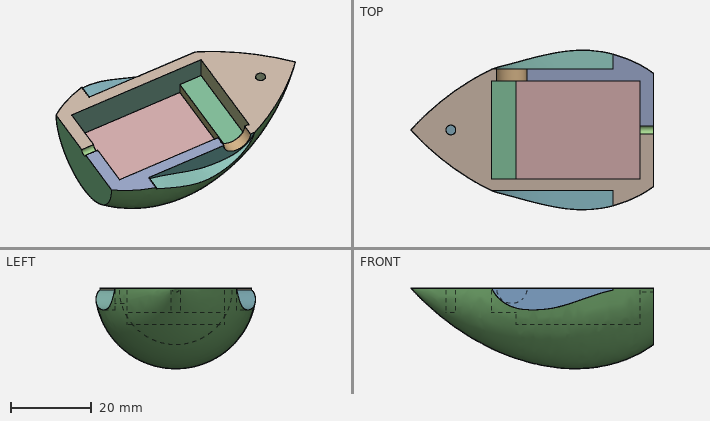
import cadquery as cq

length = 60.0
hull_depth = 20.0
stern_radius = 14.0
hull_curve = [
    (0, 0),
    (9, 8.3),
    (20.0, 15),
    (30, 18.6),
    (40.5, hull_depth),
    (51.3, 18.35),
    (length, stern_radius),
]

hold_start = 20.0
hold_end = 56.65
hold_half_width = 12.05
hold_depth = 9.0
ledge_length = 6.0
ledge_depth = 6.0

wall_outer_y = 15.0
scoop_end = 50.0
scoop_end_depth = 0.5
scoop_curve = [
    (hold_start, 0),
    (22.4, -3.1),
    (25.15, -4.7),
    (30, -5.4),
    (35.05, -5.0),
    (42.3, -2.8),
    (scoop_end, -scoop_end_depth),
]

notch_x = 24.95
notch_radius = 3.8
groove_radius = 1.0
mast_x = 9.9
mast_diameter = 2.4
mast_depth = 6.0


def make_hull():
    profile = (
        cq.Workplane("XY")
        .moveTo(*hull_curve[0])
        .spline(hull_curve[1:], includeCurrent=True)
        .lineTo(length, 0)
        .close()
    )
    return profile.revolve(180, (0, 0, 0), (-1, 0, 0))


def make_hold():
    width = 2 * hold_half_width
    ledge_end = hold_start + ledge_length
    ledge = cq.Workplane("XY").box(ledge_length, width, ledge_depth, centered=(False, True, False))
    ledge = ledge.translate((hold_start, 0, -ledge_depth))
    well = cq.Workplane("XY").box(hold_end - ledge_end, width, hold_depth, centered=(False, True, False))
    return ledge.union(well.translate((ledge_end, 0, -hold_depth)))


def make_scoop(side):
    """Side cut from the hold wall outwards; side is 1 for +Y and -1 for -Y."""
    scoop = (
        cq.Workplane("XZ", origin=(0, side * wall_outer_y, 0))
        .moveTo(*scoop_curve[0])
        .spline(scoop_curve[1:], includeCurrent=True)
        .lineTo(scoop_end, 0)
        .close()
    )
    return scoop.extrude(-side * hull_depth)


def make_wall_notch():
    """Half-round opening through the +Y hold wall."""
    return (
        cq.Workplane("XZ", origin=(notch_x, hold_half_width, 0))
        .circle(notch_radius)
        .extrude(hold_half_width - wall_outer_y)
    )


def make_stern_groove():
    """Half-round groove from the hold out through the stern."""
    return cq.Workplane("YZ", origin=(hold_end, 0, 0)).circle(groove_radius).extrude(length - hold_end)


def make_mast_hole():
    return cq.Workplane("XY", origin=(mast_x, 0, 0)).circle(mast_diameter / 2).extrude(-mast_depth)


result = make_hull().cut(make_hold())
for side in (1, -1):
    result = result.cut(make_scoop(side))
result = result.cut(make_wall_notch()).cut(make_stern_groove()).cut(make_mast_hole())